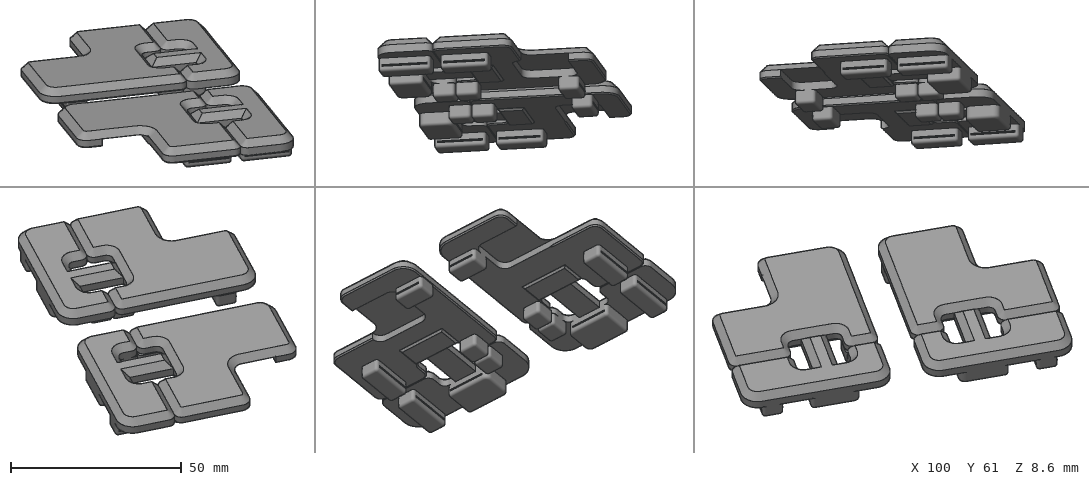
import cadquery as cq
import math

OUTER_X = -50.0
INNER_X = -5.0
BACK_Y = 30.5
FRONT_Y = -30.5
SPLIT_Y = 13.6
ARM_FRONT_Y = -9.9
LEG_X = -31.0

TOTAL_HEIGHT = 8.6
PLATE_THICKNESS = 4.5
TOP_CHAMFER = 2.1
UNDERSIDE_Z = TOTAL_HEIGHT - PLATE_THICKNESS
CHAMFER_Z = TOTAL_HEIGHT - TOP_CHAMFER

WINDOW_LEFT_X = -31.3
WINDOW_RIGHT_X = -15.0
WINDOW_BACK_Y = 20.3
WINDOW_FRONT_Y = 6.8
TONGUE_WIDTH = 7.5
TONGUE_X = (WINDOW_LEFT_X + WINDOW_RIGHT_X) / 2
TONGUE_LEFT_X = TONGUE_X - TONGUE_WIDTH / 2
TONGUE_RIGHT_X = TONGUE_X + TONGUE_WIDTH / 2

LARGE_RADIUS = 5.0
SMALL_RADIUS = 3.0
SPLIT_RADIUS = 2.2
WINDOW_RADIUS = 2.0

STRIP_X = -41.5
FOOT_WIDTH = 6.2
STRIP_GAP = 1.5
STRIP_FRONT_Y = -2.1
SIDE_GAP = 0.1
BACK_FOOT_LEFT_X = -29.8
LEG_FOOT_Y = -20.3
FOOT_RADIUS = 1.0
BACK_FOOT_RADIUS = 2.0
FOOT_EDGE_RADIUS = 0.9

RIDGE_LOW_Z = 1.6
RIDGE_HIGH_Z = 2.1
RIDGE_DEPTH = 0.2

POCKET_FRONT_Y = -23.5
POCKET_RADIUS = 3.0
POCKET_OVERRUN = 3.0

PAD_HEIGHT = 0.7
PAD_BEVEL = 0.6
PAD_FRONT_Y = -1.0
LEG_BEVEL = 0.4


def rounded_outline(corners):
    """Closed wire sketch through (x, y, radius) corners; a radius of 0 keeps the corner sharp."""
    stretches = []
    count = len(corners)
    for index, (x, y, radius) in enumerate(corners):
        here = cq.Vector(x, y)
        before = (cq.Vector(*corners[index - 1][:2]) - here).normalized()
        after = (cq.Vector(*corners[(index + 1) % count][:2]) - here).normalized()
        half_angle = before.getAngle(after) / 2
        setback = radius / math.tan(half_angle)
        inward = (before + after).normalized()
        middle = here + inward * (radius / math.sin(half_angle) - radius)
        stretches.append((here + before * setback, middle, here + after * setback, radius))

    outline = cq.Workplane("XY").moveTo(*stretches[0][2].toTuple()[:2])
    for start, middle, end, radius in stretches[1:] + stretches[:1]:
        outline = outline.lineTo(start.x, start.y)
        if radius > 0:
            outline = outline.threePointArc((middle.x, middle.y), (end.x, end.y))
    return outline.close()


def plate(corners):
    """Plate with the given outline, chamfered all around its top."""
    slab = rounded_outline(corners).extrude(PLATE_THICKNESS).translate((0, 0, UNDERSIDE_Z))
    return slab.faces(">Z").chamfer(TOP_CHAMFER)


def foot(x_low, x_high, y_low, y_high, inner_radius=FOOT_RADIUS):
    """Foot from the ground to the underside of a plate; inner_radius rounds its two corners at x_high."""
    corners = [
        (x_low, y_low, FOOT_RADIUS),
        (x_high, y_low, inner_radius),
        (x_high, y_high, inner_radius),
        (x_low, y_high, FOOT_RADIUS),
    ]
    return rounded_outline(corners).extrude(UNDERSIDE_Z).faces("<Z").edges().fillet(FOOT_EDGE_RADIUS)


def ridge_profile(workplane, base, tip):
    """Triangle on a foot face: base is where the face lies and tip is how far the ridge reaches."""
    middle_z = (RIDGE_LOW_Z + RIDGE_HIGH_Z) / 2
    return workplane.polyline([(base, RIDGE_LOW_Z), (tip, middle_z), (base, RIDGE_HIGH_Z)]).close()


def ridge_along_y(face_x, outward, y_low, y_high):
    """Snap ridge on a foot face square to X; outward is the sign of the face's direction."""
    start = cq.Workplane("XZ", origin=(0, y_low, 0))
    profile = ridge_profile(start, face_x, face_x + outward * RIDGE_DEPTH)
    return profile.extrude(y_low - y_high)


def ridge_along_x(face_y, x_low, x_high):
    """Snap ridge on a foot face that looks toward -Y."""
    start = cq.Workplane("YZ", origin=(x_low, 0, 0))
    profile = ridge_profile(start, face_y, face_y - RIDGE_DEPTH)
    return profile.extrude(x_high - x_low)


def strip_foot(y_low, y_high):
    """Foot along Y under the outer side of a plate, with a snap ridge on both long faces."""
    x_low = STRIP_X - FOOT_WIDTH / 2
    x_high = STRIP_X + FOOT_WIDTH / 2
    strip = foot(x_low, x_high, y_low, y_high)
    for face_x, outward in ((x_low, -1), (x_high, 1)):
        strip = strip.union(ridge_along_y(face_x, outward, y_low + FOOT_RADIUS, y_high - FOOT_RADIUS))
    return strip


def side_foot(y_low, y_high):
    """Foot beside the window, flush with the window's inner side."""
    return foot(WINDOW_RIGHT_X, WINDOW_RIGHT_X + FOOT_WIDTH, y_low, y_high)


def back_foot():
    """Foot flush with the back of the window and with the back edge of the plate."""
    block = foot(BACK_FOOT_LEFT_X, WINDOW_RIGHT_X, WINDOW_BACK_Y, BACK_Y, inner_radius=BACK_FOOT_RADIUS)
    ridge_left = BACK_FOOT_LEFT_X + FOOT_RADIUS
    ridge_right = WINDOW_RIGHT_X - BACK_FOOT_RADIUS
    return block.union(ridge_along_x(WINDOW_BACK_Y, ridge_left, ridge_right))


def leg_foot():
    """Foot along X under the leg, flush with the inner edge of the plate."""
    y_low = LEG_FOOT_Y - FOOT_WIDTH / 2
    y_high = LEG_FOOT_Y + FOOT_WIDTH / 2
    block = foot(WINDOW_RIGHT_X, INNER_X, y_low, y_high)
    return block.union(ridge_along_x(y_low, WINDOW_RIGHT_X + FOOT_RADIUS, INNER_X - FOOT_RADIUS))


def upper_body():
    """Back part of a half, with the tongue that reaches across the window."""
    body = plate([
        (OUTER_X, BACK_Y, LARGE_RADIUS),
        (OUTER_X, SPLIT_Y, SPLIT_RADIUS),
        (WINDOW_LEFT_X, SPLIT_Y, SPLIT_RADIUS),
        (WINDOW_LEFT_X, WINDOW_BACK_Y, WINDOW_RADIUS),
        (TONGUE_LEFT_X, WINDOW_BACK_Y, 0),
        (TONGUE_LEFT_X, WINDOW_FRONT_Y, 0),
        (TONGUE_RIGHT_X, WINDOW_FRONT_Y, 0),
        (TONGUE_RIGHT_X, WINDOW_BACK_Y, 0),
        (WINDOW_RIGHT_X, WINDOW_BACK_Y, WINDOW_RADIUS),
        (WINDOW_RIGHT_X, SPLIT_Y, SPLIT_RADIUS),
        (INNER_X, SPLIT_Y, SPLIT_RADIUS),
        (INNER_X, BACK_Y, LARGE_RADIUS),
    ])
    body = body.union(strip_foot(SPLIT_Y + STRIP_GAP, BACK_Y))
    body = body.union(side_foot(SPLIT_Y + SIDE_GAP, WINDOW_BACK_Y))
    return body.union(back_foot())


def lower_plate():
    """Plate of the lower body, with a bevel under the front edge and front corners of its leg."""
    slab = plate([
        (OUTER_X, SPLIT_Y, SPLIT_RADIUS),
        (OUTER_X, ARM_FRONT_Y, SMALL_RADIUS),
        (LEG_X, ARM_FRONT_Y, SMALL_RADIUS),
        (LEG_X, FRONT_Y, SMALL_RADIUS),
        (INNER_X, FRONT_Y, LARGE_RADIUS),
        (INNER_X, SPLIT_Y, SPLIT_RADIUS),
        (WINDOW_RIGHT_X, SPLIT_Y, SPLIT_RADIUS),
        (WINDOW_RIGHT_X, WINDOW_FRONT_Y, WINDOW_RADIUS),
        (WINDOW_LEFT_X, WINDOW_FRONT_Y, WINDOW_RADIUS),
        (WINDOW_LEFT_X, SPLIT_Y, SPLIT_RADIUS),
    ])
    front_end = cq.selectors.BoxSelector(
        (LEG_X, FRONT_Y - LEG_BEVEL, UNDERSIDE_Z - LEG_BEVEL),
        (INNER_X, FRONT_Y + SMALL_RADIUS, UNDERSIDE_Z + LEG_BEVEL),
    )
    return slab.faces("<Z").edges(front_end).chamfer(LEG_BEVEL)


def pad():
    """Shallow pad with bevelled sides under the lower body, in front of the window."""
    length = WINDOW_RIGHT_X - LEG_X
    width = WINDOW_FRONT_Y - PAD_FRONT_Y
    block = cq.Workplane("XY").box(length, width, PAD_HEIGHT, centered=False).faces("<Z").chamfer(PAD_BEVEL)
    return block.translate((LEG_X, PAD_FRONT_Y, UNDERSIDE_Z - PAD_HEIGHT))


def leg_pocket(outer_x, back_y):
    """Pocket up to the height of the top chamfer, open at the outer side of the leg."""
    corners = [
        (outer_x, POCKET_FRONT_Y, POCKET_RADIUS),
        (WINDOW_RIGHT_X, POCKET_FRONT_Y, POCKET_RADIUS),
        (WINDOW_RIGHT_X, back_y, POCKET_RADIUS),
        (outer_x, back_y, POCKET_RADIUS),
    ]
    return rounded_outline(corners).extrude(CHAMFER_Z - UNDERSIDE_Z).translate((0, 0, UNDERSIDE_Z))


def lower_body(pocket):
    """Front part of a half, with its leg."""
    body = lower_plate().cut(pocket).union(pad())
    body = body.union(strip_foot(STRIP_FRONT_Y, SPLIT_Y - STRIP_GAP))
    body = body.union(side_foot(WINDOW_FRONT_Y, SPLIT_Y - SIDE_GAP))
    return body.union(leg_foot())


left_pocket = leg_pocket(LEG_X - POCKET_OVERRUN, ARM_FRONT_Y + POCKET_OVERRUN)
right_pocket = leg_pocket(LEG_X - SMALL_RADIUS - POCKET_RADIUS, ARM_FRONT_Y)

left_upper = upper_body()
right_upper = upper_body().mirror("YZ")
left_lower = lower_body(left_pocket)
right_lower = lower_body(right_pocket).mirror("YZ")

bodies = [left_upper, right_upper, left_lower, right_lower]
result = cq.Compound.makeCompound([body.solids().val() for body in bodies])